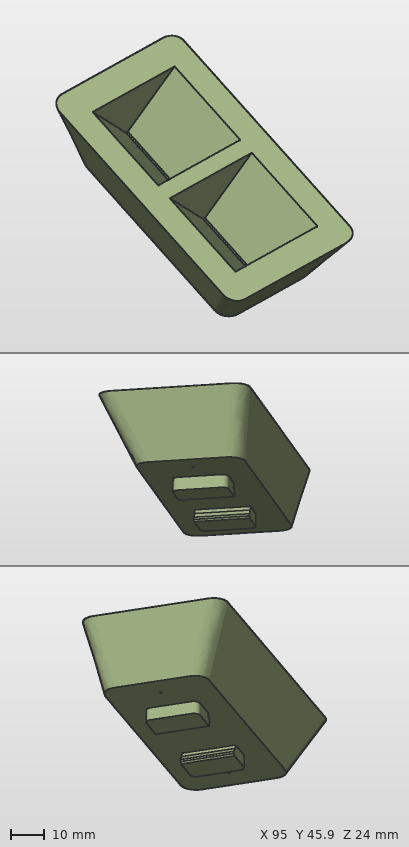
import cadquery as cq
import math

rim_length = 94.95
rim_width = 45.9
body_height = 20.0
front_draft = 10.0
side_draft = 25.0
corner_radius = 5.0

pocket_length = 34.0
pocket_width = 29.9
pocket_gap = 6.0
pocket_pair_x = 0.4
pocket_back_y = 15.0
floor_thickness = 1.0
floor_back_y = -2.1
floor_width = 0.7

pinhole_diameter = 0.5
pinhole_x = 30.0

foot_height = 4.0
foot_width = 17.0
foot_outer_x = 21.2
neck_x = 12.1
lip_x = 10.5
neck_height = 1.2
neck_flare = 0.3
lip_height = 0.7
lip_chamfer = 0.6
foot_corner_radius = 2.0

side_inset = body_height * math.tan(math.radians(side_draft))
front_inset = body_height * math.tan(math.radians(front_draft))
base_length = rim_length - 2 * side_inset
base_width = rim_width - side_inset - front_inset
base_center_y = (front_inset - side_inset) / 2


def make_body():
    """Frustum with a steep front, three flatter sides and rounded corner edges."""
    frustum = (
        cq.Workplane("XY")
        .center(0, base_center_y)
        .rect(base_length, base_width)
        .workplane(offset=body_height)
        .center(0, -base_center_y)
        .rect(rim_length, rim_width)
        .loft(ruled=True)
    )
    slanted_edges = frustum.edges("not(#Z)")
    return slanted_edges.fillet(corner_radius)


def make_pocket(center_x):
    """V-shaped pocket with a narrow flat floor and upright end walls."""
    profile = [
        (pocket_back_y, body_height),
        (floor_back_y, floor_thickness),
        (floor_back_y - floor_width, floor_thickness),
        (pocket_back_y - pocket_width, body_height),
    ]
    return (
        cq.Workplane("YZ", origin=(center_x - pocket_length / 2, 0, 0))
        .polyline(profile)
        .close()
        .extrude(pocket_length)
    )


def make_foot():
    """Foot on the +X side: undercut inner face and rounded outer corners."""
    profile = [
        (foot_outer_x, 0),
        (neck_x, 0),
        (neck_x - neck_flare, -neck_height),
        (lip_x, -foot_height + lip_chamfer + lip_height),
        (lip_x, -foot_height + lip_chamfer),
        (lip_x + lip_chamfer, -foot_height),
        (foot_outer_x, -foot_height),
    ]
    foot = (
        cq.Workplane("XZ", origin=(0, base_center_y, 0))
        .polyline(profile)
        .close()
        .extrude(foot_width / 2, both=True)
    )
    return foot.edges("|Z and >X").fillet(foot_corner_radius)


def make_pinhole(center_x):
    """Upright pinhole from the underside into a pocket."""
    return (
        cq.Workplane("XY", origin=(center_x, base_center_y, 0))
        .circle(pinhole_diameter / 2)
        .extrude(body_height)
    )


result = make_body()
for side in (-1, 1):
    result = result.cut(make_pocket(pocket_pair_x + side * (pocket_gap + pocket_length) / 2))
    result = result.cut(make_pinhole(side * pinhole_x))
foot = make_foot()
result = result.union(foot).union(foot.mirror("YZ"))